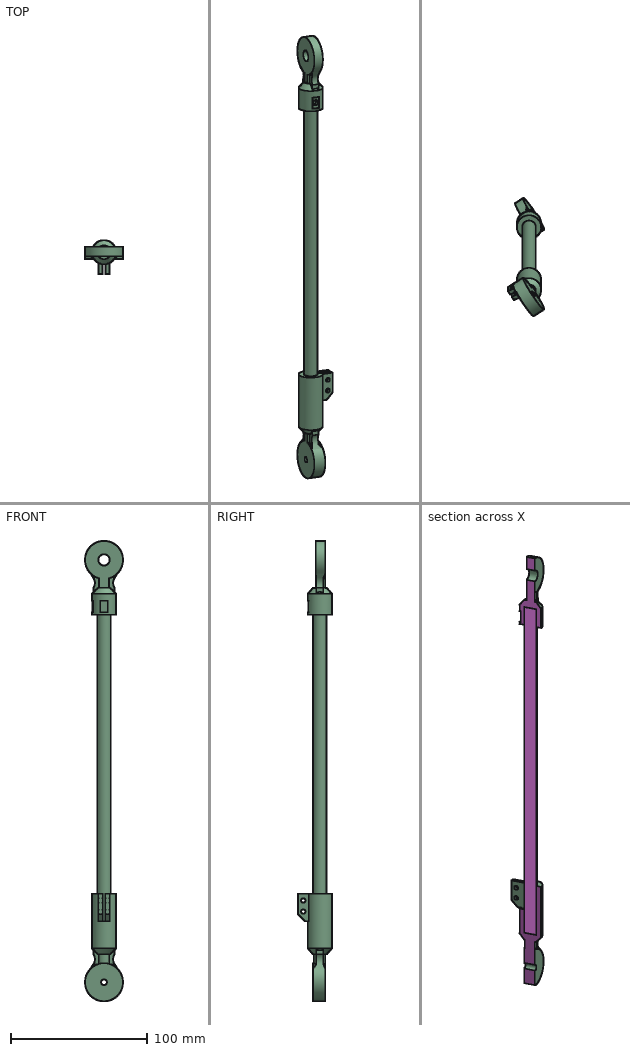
import cadquery as cq

LENGTH = 338.0
HALF_LENGTH = LENGTH / 2
DEPTH = 25.0

EYE_DIAMETER = 28.0
EYE_Z = HALF_LENGTH - EYE_DIAMETER / 2
EYE_BACK_Y = 4.0
TOP_EYE_THICKNESS = 7.0
TOP_EYE_HOLE = 8.0
BOTTOM_EYE_THICKNESS = 9.0
BOTTOM_EYE_HOLE = 4.0

SLEEVE_DIAMETER = 18.0
SHOULDER_Z = HALF_LENGTH - 39.0
CONE_TIP_DIAMETER = 10.0
CONE_TIP_Z = HALF_LENGTH - 34.5
NECK_DIAMETER = 9.0
NECK_END_Z = HALF_LENGTH - 24.0

RIB_THICKNESS = 5.0
RIB_END_WIDTH = 15.5
RIB_WAIST_WIDTH = 13.5
RIB_END_Z = HALF_LENGTH - 27.5
RIB_WAIST_Z = (RIB_END_Z + CONE_TIP_Z) / 2
GUSSET_WIDTH = 19.5

ROD_DIAMETER = 10.0
ROD_END_Z = HALF_LENGTH - 40.0

TOP_SLEEVE_END_Z = HALF_LENGTH - 54.5
WINDOW_WIDTH = 5.5
WINDOW_HEIGHT = 8.5
WINDOW_Z = HALF_LENGTH - 48.5
WINDOW_DEPTH = 1.0
SCREW_HOLE = 4.0

BOTTOM_SLEEVE_END_Z = 79.0 - HALF_LENGTH
LUG_FRONT_Y = SLEEVE_DIAMETER / 2 - DEPTH
LUG_PAIR_WIDTH = 8.0
LUG_HEIGHT = 20.3
LUG_CHAMFER = 5.0
SLIT_WIDTH = 2.0
CLAMP_HOLE = 3.0
CLAMP_HOLE_Y = -12.0
CLAMP_HOLE_DROPS = (5.0, 13.2)


def disc_along_y(diameter, thickness):
    """Disc on the eye axis, from the rear face of the eye forward."""
    plane = cq.Plane(origin=(0, EYE_BACK_Y, EYE_Z), xDir=(-1, 0, 0), normal=(0, -1, 0))
    return cq.Workplane(plane).circle(diameter / 2).extrude(thickness)


def rod_cylinder():
    """The rod, and the space that it fills in the fittings."""
    return cq.Workplane("XY", origin=(0, 0, -ROD_END_Z)).circle(ROD_DIAMETER / 2).extrude(2 * ROD_END_Z)


def stem(sleeve_end_z):
    """Sleeve and cone, turned as one profile."""
    sleeve_x = -SLEEVE_DIAMETER / 2
    tip_x = -CONE_TIP_DIAMETER / 2
    return (
        cq.Workplane("XZ")
        .moveTo(0, sleeve_end_z)
        .lineTo(sleeve_x, sleeve_end_z)
        .lineTo(sleeve_x, SHOULDER_Z)
        .lineTo(tip_x, CONE_TIP_Z)
        .lineTo(0, CONE_TIP_Z)
        .close()
        .revolve(360, (0, 0), (0, 1))
    )


def neck(eye_thickness):
    """Round neck, flattened where it would stand out from the faces of the eye."""
    round_bar = (
        cq.Workplane("XY", origin=(0, 0, SHOULDER_Z))
        .circle(NECK_DIAMETER / 2)
        .extrude(NECK_END_Z - SHOULDER_Z)
    )
    between_faces = cq.Workplane("XZ", origin=(0, EYE_BACK_Y, 0)).rect(LENGTH, LENGTH).extrude(eye_thickness)
    return round_bar.intersect(between_faces)


def ribs():
    """Plate through the neck, with waisted sides."""
    end_x = RIB_END_WIDTH / 2
    waist_x = RIB_WAIST_WIDTH / 2
    return (
        cq.Workplane("XZ")
        .moveTo(-end_x, SHOULDER_Z)
        .lineTo(-end_x, CONE_TIP_Z)
        .threePointArc((-waist_x, RIB_WAIST_Z), (-end_x, RIB_END_Z))
        .lineTo(end_x, RIB_END_Z)
        .threePointArc((waist_x, RIB_WAIST_Z), (end_x, CONE_TIP_Z))
        .lineTo(end_x, SHOULDER_Z)
        .close()
        .extrude(RIB_THICKNESS / 2, both=True)
    )


def gusset(eye_thickness):
    """Block that spreads from the end of the ribs to the full thickness of the eye."""
    eye_middle_y = EYE_BACK_Y - eye_thickness / 2
    return (
        cq.Workplane("XY", origin=(0, 0, RIB_END_Z))
        .rect(RIB_END_WIDTH, RIB_THICKNESS)
        .workplane(offset=NECK_END_Z - RIB_END_Z)
        .center(0, eye_middle_y)
        .rect(GUSSET_WIDTH, eye_thickness)
        .loft(ruled=True)
    )


def end_fitting(eye_thickness, eye_hole, sleeve_end_z):
    """Eye, neck and solid sleeve at the upper end of the strut."""
    return (
        disc_along_y(EYE_DIAMETER, eye_thickness)
        .union(gusset(eye_thickness))
        .union(neck(eye_thickness))
        .union(ribs())
        .union(stem(sleeve_end_z))
        .cut(disc_along_y(eye_hole, eye_thickness))
    )


def side_window():
    """Cutter for the window on the -X side of the top sleeve."""
    floor_x = WINDOW_DEPTH - SLEEVE_DIAMETER / 2
    return (
        cq.Workplane("YZ", origin=(floor_x, 0, WINDOW_Z))
        .rect(WINDOW_WIDTH, WINDOW_HEIGHT)
        .extrude(-2 * WINDOW_DEPTH)
    )


def make_top_fitting():
    screw_hole = (
        cq.Workplane("YZ", origin=(0, 0, WINDOW_Z)).circle(SCREW_HOLE / 2).extrude(-SLEEVE_DIAMETER / 2)
    )
    front_window = side_window().rotate((0, 0, 0), (0, 0, 1), 90)
    return (
        end_fitting(TOP_EYE_THICKNESS, TOP_EYE_HOLE, TOP_SLEEVE_END_Z)
        .cut(side_window())
        .cut(front_window)
        .cut(screw_hole)
        .cut(rod_cylinder())
    )


def lug_block():
    """Both lugs as one block, chamfered at the lower front corner."""
    lug_base_z = BOTTOM_SLEEVE_END_Z - LUG_HEIGHT
    return (
        cq.Workplane("YZ")
        .moveTo(0, BOTTOM_SLEEVE_END_Z)
        .lineTo(LUG_FRONT_Y, BOTTOM_SLEEVE_END_Z)
        .lineTo(LUG_FRONT_Y, lug_base_z + LUG_CHAMFER)
        .lineTo(LUG_FRONT_Y + LUG_CHAMFER, lug_base_z)
        .lineTo(0, lug_base_z)
        .close()
        .extrude(LUG_PAIR_WIDTH / 2, both=True)
    )


def make_bottom_fitting():
    slit = (
        cq.Workplane("YZ")
        .moveTo(LUG_FRONT_Y / 2, BOTTOM_SLEEVE_END_Z - LUG_HEIGHT / 2)
        .rect(LUG_FRONT_Y, LUG_HEIGHT)
        .extrude(SLIT_WIDTH / 2, both=True)
    )
    clamp_holes = (
        cq.Workplane("YZ")
        .pushPoints([(CLAMP_HOLE_Y, BOTTOM_SLEEVE_END_Z - drop) for drop in CLAMP_HOLE_DROPS])
        .circle(CLAMP_HOLE / 2)
        .extrude(LUG_PAIR_WIDTH / 2, both=True)
    )
    return (
        end_fitting(BOTTOM_EYE_THICKNESS, BOTTOM_EYE_HOLE, -BOTTOM_SLEEVE_END_Z)
        .mirror("XY")
        .union(lug_block())
        .cut(slit)
        .cut(clamp_holes)
        .cut(rod_cylinder())
    )


rod = rod_cylinder()
top_fitting = make_top_fitting()
bottom_fitting = make_bottom_fitting()
result = cq.Compound.makeCompound([rod.val(), top_fitting.solids().val(), bottom_fitting.solids().val()])